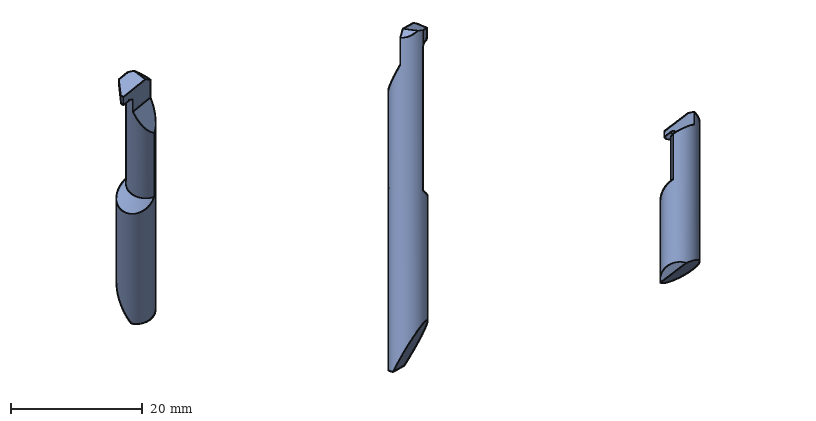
import cadquery as cq
import math

total_length = 53.0
shank_radius = 3.0
end_cut_angle = 30.0
end_cut_height = 7.85

neck_start = 28.0
neck_radius = shank_radius
neck_offset = 2.1

head_thickness = 1.95
head_relief_angle = 3.0
head_fillet = 0.8
flat_x = 0.2
flat_depth = 5.3
tip_face_x = 0.0
tip_face_top_y = -1.0
tip_width = 0.3
head_flank_y = -0.8
back_chamfer = 1.15

margin = 10.0
end_slope = math.tan(math.radians(end_cut_angle))
relief_slope = math.tan(math.radians(head_relief_angle))
head_bottom = total_length - head_thickness


def along_y(points):
    """Prism through the whole part from an outline of (x, z) points."""
    return cq.Workplane("XZ").polyline(points).close().extrude(margin, both=True)


def round_bar(bottom, top):
    """Length of the shank cylinder between two heights."""
    return cq.Workplane("XY").workplane(offset=bottom).circle(shank_radius).extrude(top - bottom)


def make_bar():
    """Round shank, 45 degree conical shoulder, offset neck and blend into the head."""
    shoulder_end_radius = neck_radius + margin
    blend_radius = neck_radius + head_fillet
    blend_top = head_bottom + head_thickness / 2
    arc_share = math.cos(math.radians(45))
    envelope = (
        cq.Workplane("XZ")
        .moveTo(0, -margin)
        .lineTo(shoulder_end_radius, -margin)
        .lineTo(shoulder_end_radius, neck_start - margin)
        .lineTo(neck_radius, neck_start)
        .lineTo(neck_radius, head_bottom - head_fillet)
        .threePointArc(
            (blend_radius - head_fillet * arc_share, head_bottom - head_fillet * (1 - arc_share)),
            (blend_radius, head_bottom),
        )
        .lineTo(blend_radius, blend_top)
        .lineTo(0, blend_top)
        .close()
        .revolve(360, (0, 0, 0), (0, 1, 0))
        .translate((0, neck_offset, 0))
    )
    return round_bar(0, total_length).intersect(envelope)


def make_head():
    """Hooked cutting head with its top and underside falling away from the flat."""
    relief_rise = relief_slope * margin
    slab = along_y([
        (flat_x + margin, total_length + relief_rise),
        (flat_x + margin, head_bottom - relief_rise),
        (flat_x - margin, head_bottom + relief_rise),
        (flat_x - margin, total_length - relief_rise),
    ])
    return round_bar(neck_start, total_length + margin).intersect(slab)


def make_flank_cut():
    """Leaves a flat side flush with the neck and a straight flank down to the tip."""
    side_y = neck_offset / 2
    side_x = -math.sqrt(shank_radius ** 2 - side_y ** 2)
    return (
        cq.Workplane("XY")
        .workplane(offset=head_bottom - head_fillet)
        .moveTo(side_x, side_y)
        .lineTo(side_x, head_flank_y)
        .lineTo(tip_face_x - tip_width, -shank_radius)
        .lineTo(side_x - margin, -shank_radius)
        .lineTo(side_x - margin, side_y)
        .close()
        .extrude(margin)
    )


def make_flat_cut():
    """Removes the +X half at the top and runs out along a slope."""
    flat_end = total_length - flat_depth
    return along_y([
        (flat_x, total_length + margin),
        (flat_x, flat_end),
        (flat_x + margin, flat_end - margin / end_slope),
        (flat_x + margin, total_length + margin),
    ])


def make_tip_face_cut():
    """Sets the cutting face of the tip back from the flat."""
    return (
        cq.Workplane("XY")
        .workplane(offset=head_bottom - head_fillet)
        .moveTo(tip_face_x, tip_face_top_y)
        .rect(margin, -margin, centered=False)
        .extrude(margin)
    )


def make_back_chamfer_cut():
    """45 degree chamfer across the top edge on the +Y side."""
    chamfer_y = shank_radius - back_chamfer
    return (
        cq.Workplane("YZ")
        .moveTo(chamfer_y, total_length)
        .lineTo(shank_radius, total_length)
        .lineTo(shank_radius, total_length - back_chamfer)
        .close()
        .extrude(margin, both=True)
    )


def make_end_cut():
    """Slanted cut on the -X side of the shank end."""
    return along_y([
        (-shank_radius, end_cut_height),
        (-shank_radius + end_cut_height * end_slope, 0),
        (-shank_radius, 0),
    ])


result = (
    make_bar()
    .union(make_head())
    .cut(make_flank_cut())
    .cut(make_flat_cut())
    .cut(make_tip_face_cut())
    .cut(make_back_chamfer_cut())
    .cut(make_end_cut())
)